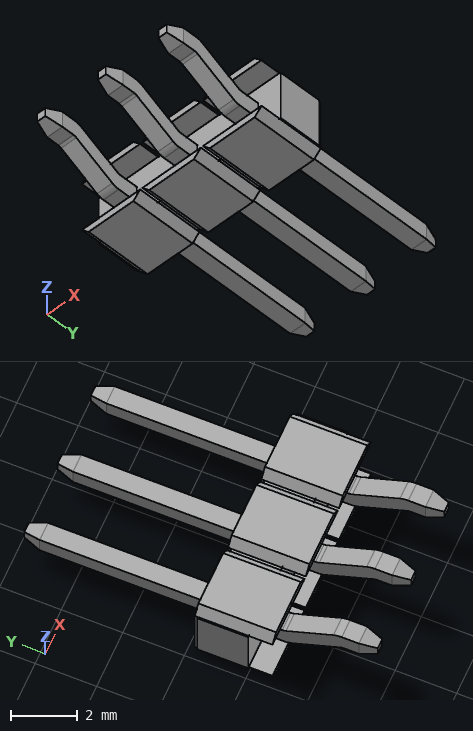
import cadquery as cq
import math

pin_count = 3
pitch = 2.54
pin_positions = [(i - (pin_count - 1) / 2) * pitch for i in range(pin_count)]

height = 2.5
segment_width = 2.45
segment_chamfer = 0.29
segment_back_y = -0.24
segment_depth = 2.53
segment_front_y = segment_back_y - segment_depth
bar_length = pin_count * pitch
bar_height = height - 2 * segment_chamfer
bar_setback = 0.1
bar_back_y = segment_back_y - bar_setback
bar_front_y = -2.0

pin_size = 0.64
pin_back_y = 5.75
pin_front_y = -5.75
tip_length = 0.56
tip_size = 0.35
front_rise = (height - pin_size) / 2
lower_bend_y = -2.84
upper_bend_y = -4.57
inner_bend_radius = 0.25
outer_bend_radius = 0.58


def block(x_size, y_front, y_back, z_size):
    """Box centred on the X and Z axes, between two Y planes."""
    middle_y = (y_front + y_back) / 2
    return cq.Workplane("XY").box(x_size, y_back - y_front, z_size).translate((0, middle_y, 0))


def make_housing():
    segment = block(segment_width, segment_front_y, segment_back_y, height)
    segment = segment.edges("|Y").chamfer(segment_chamfer)
    front_recess = block(bar_length, segment_front_y, bar_front_y, bar_height)
    pin_hole = block(pin_size, segment_front_y, segment_back_y, pin_size)

    housing = block(bar_length, bar_front_y, bar_back_y, bar_height)
    for x in pin_positions:
        housing = housing.union(segment.translate((x, 0, 0)))
    housing = housing.cut(front_recess)
    for x in pin_positions:
        housing = housing.cut(pin_hole.translate((x, 0, 0)))
    return housing


def make_tip(y_base, y_end, z):
    """Square taper from the full pin section down to the tip section."""
    base = cq.Workplane("XZ", origin=(0, y_base, z)).rect(pin_size, pin_size)
    return base.workplane(offset=y_base - y_end).rect(tip_size, tip_size).loft(ruled=True)


def make_shank():
    """Bent wire between the tips, of constant thickness through the slope."""
    half = pin_size / 2
    bend_angle = math.atan2(front_rise, lower_bend_y - upper_bend_y)
    miter = half * math.tan(bend_angle / 2)
    shank_back_y = pin_back_y - tip_length
    shank_front_y = pin_front_y + tip_length

    lower_inner = (lower_bend_y + miter, half)
    lower_outer = (lower_bend_y - miter, -half)
    upper_outer = (upper_bend_y + miter, front_rise + half)
    upper_inner = (upper_bend_y - miter, front_rise - half)
    outline = [
        (shank_back_y, half),
        lower_inner,
        upper_outer,
        (shank_front_y, front_rise + half),
        (shank_front_y, front_rise - half),
        upper_inner,
        lower_outer,
        (shank_back_y, -half),
    ]
    shank = cq.Workplane("YZ").polyline(outline).close().extrude(half, both=True)

    bends = [
        (lower_inner, inner_bend_radius),
        (lower_outer, outer_bend_radius),
        (upper_inner, inner_bend_radius),
        (upper_outer, outer_bend_radius),
    ]
    for (y, z), radius in bends:
        corner = cq.selectors.NearestToPointSelector((0, y, z))
        shank = shank.edges("|X").edges(corner).fillet(radius)
    return shank


def make_pin():
    back_tip = make_tip(pin_back_y - tip_length, pin_back_y, 0)
    front_tip = make_tip(pin_front_y + tip_length, pin_front_y, front_rise)
    return make_shank().union(back_tip).union(front_tip)


housing = make_housing()
pin = make_pin()
pins = [pin.translate((x, 0, 0)) for x in pin_positions]

result = cq.Compound.makeCompound([housing.solids().val(), *[copy.solids().val() for copy in pins]])